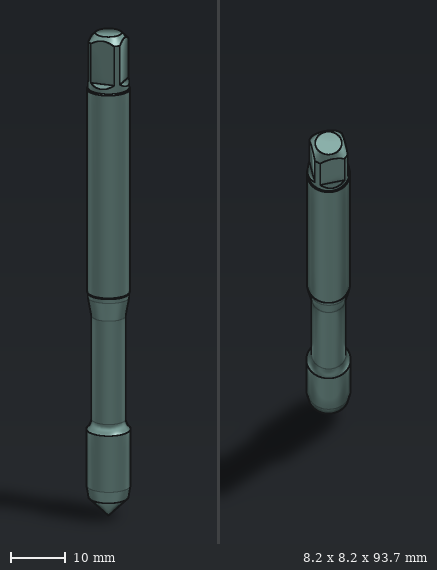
import cadquery as cq
import math

TOTAL_LENGTH = 93.7
HEAD_DIAMETER = 8.2
HEAD_LENGTH = 16.9
LEAD_DIAMETER = 7.4
LEAD_TOP = 6.0
POINT_ANGLE = 90.0

NECK_DIAMETER = 6.4
NECK_BOTTOM = 18.8
NECK_TOP = 38.9

SHANK_DIAMETER = 8.0
SHANK_END_DIAMETER = 7.7
COLLAR_BOTTOM = 42.55
SHANK_BOTTOM = 43.6
SHANK_TOP = 82.85
SHANK_CHAMFER_LENGTH = 0.3

SQUARE_WIDTH = 6.2
SQUARE_LENGTH = 9.0
TOP_FACE_DIAMETER = 4.9
TOP_CHAMFER = (SHANK_END_DIAMETER - TOP_FACE_DIAMETER) / 2
SQUARE_BOTTOM = TOTAL_LENGTH - SQUARE_LENGTH
SQUARE_SIDES = 4


def make_head():
    """Revolve the pointed, tapered head."""
    lead_radius = LEAD_DIAMETER / 2
    head_radius = HEAD_DIAMETER / 2
    point_height = lead_radius / math.tan(math.radians(POINT_ANGLE / 2))
    return (
        cq.Workplane("XZ")
        .lineTo(lead_radius, point_height)
        .lineTo(head_radius, LEAD_TOP)
        .lineTo(head_radius, HEAD_LENGTH)
        .lineTo(0, HEAD_LENGTH)
        .close()
        .revolve(360, (0, 0), (0, 1))
    )


def make_round_shank():
    """Revolve the flare, neck, shank and the round blank of the square."""
    neck_radius = NECK_DIAMETER / 2
    shank_radius = SHANK_DIAMETER / 2
    end_radius = SHANK_END_DIAMETER / 2
    flare_height = NECK_BOTTOM - HEAD_LENGTH
    flare_width = HEAD_DIAMETER / 2 - neck_radius
    flare_radius = (flare_height**2 + flare_width**2) / (2 * flare_width)
    half_sweep = math.asin(flare_height / flare_radius) / 2
    flare_middle = (
        neck_radius + flare_radius * (1 - math.cos(half_sweep)),
        NECK_BOTTOM - flare_radius * math.sin(half_sweep),
    )
    return (
        cq.Workplane("XZ")
        .moveTo(0, HEAD_LENGTH)
        .lineTo(HEAD_DIAMETER / 2, HEAD_LENGTH)
        .threePointArc(flare_middle, (neck_radius, NECK_BOTTOM))
        .lineTo(neck_radius, NECK_TOP)
        .lineTo(end_radius, COLLAR_BOTTOM)
        .lineTo(end_radius, SHANK_BOTTOM - SHANK_CHAMFER_LENGTH)
        .lineTo(shank_radius, SHANK_BOTTOM)
        .lineTo(shank_radius, SHANK_TOP)
        .lineTo(end_radius, SHANK_TOP + SHANK_CHAMFER_LENGTH)
        .lineTo(end_radius, TOTAL_LENGTH - TOP_CHAMFER)
        .lineTo(TOP_FACE_DIAMETER / 2, TOTAL_LENGTH)
        .lineTo(0, TOTAL_LENGTH)
        .close()
        .revolve(360, (0, 0), (0, 1))
    )


def make_flat_cutter():
    """Block that cuts one flat, with a floor falling outward at 45 degrees."""
    flat_x = SQUARE_WIDTH / 2
    outer_x = SHANK_DIAMETER / 2
    return (
        cq.Workplane("XZ")
        .moveTo(flat_x, SQUARE_BOTTOM)
        .lineTo(outer_x, SQUARE_BOTTOM - (outer_x - flat_x))
        .lineTo(outer_x, TOTAL_LENGTH)
        .lineTo(flat_x, TOTAL_LENGTH)
        .close()
        .extrude(SHANK_DIAMETER / 2, both=True)
    )


def make_shank():
    """Round shank with the driving square cut into its upper end."""
    shank = make_round_shank()
    cutter = make_flat_cutter()
    for side in range(SQUARE_SIDES):
        angle = side * 360 / SQUARE_SIDES
        shank = shank.cut(cutter.rotate((0, 0, 0), (0, 0, 1), angle))
    return shank


head = make_head()
shank = make_shank()
result = cq.Compound.makeCompound([head.val(), *shank.solids().vals()])